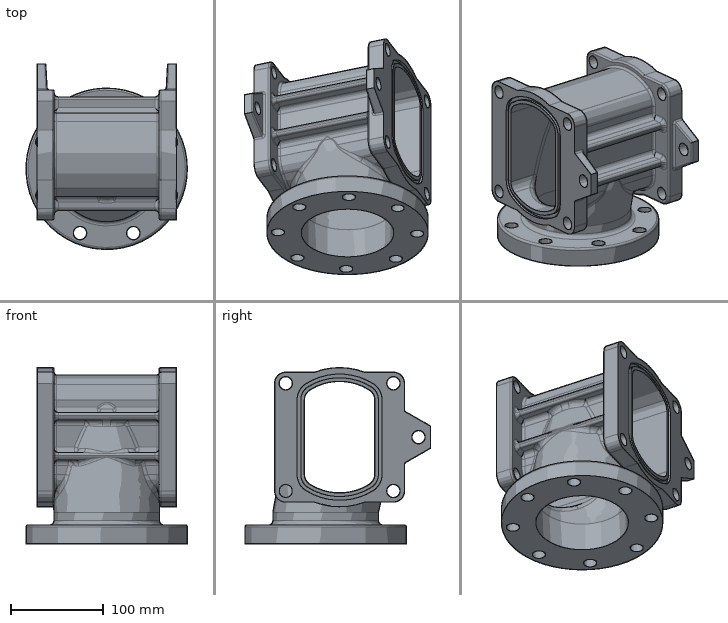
import cadquery as cq
import math

FLANGE_RADIUS = 87.0
FLANGE_THICKNESS = 20.5
FLANGE_EDGE_ROUND = 2.3
FLANGE_BOLT_CIRCLE_RADIUS = 75.0
FLANGE_BOLT_COUNT = 8
BOLT_HOLE_DIAMETER = 14.0

PASSAGE_Y = 15.0
PASSAGE_Z = 115.0
BORE_HALF_WIDTH = 37.8
BORE_RADIUS = 60.0
BORE_CORNER_ROUND = 12.5
WALL = 7.2
LENGTH = 150.0

PLATE_THICKNESS = 18.5
PLATE_SIZE = 140.0
PLATE_CORNER_RADIUS = 12.0
PLATE_SWELLING_RADIUS = 75.0
PLATE_EDGE_ROUND = 2.0
PLATE_HOLE_OFFSET = 58.0
PLATE_ROOT_FILLET = 2.5
INNER_FACE_X = LENGTH / 2 - PLATE_THICKNESS

EAR_REACH = 98.0
EAR_HOLE_REACH = 85.0
EAR_BASE_HALF_HEIGHT = 28.0
EAR_TIP_HALF_HEIGHT = 12.0
EAR_ROOT_THICKNESS = 11.0
EAR_TIP_THICKNESS = 9.5
EAR_EDGE_ROUND = 1.5
EAR_ROOT_FILLET = 2.5

GROOVE_INNER_OFFSET = 4.0
GROOVE_OUTER_OFFSET = 8.0
GROOVE_DEPTH = 3.0

RIB_HEIGHTS = (94.5, 137.5)
RIB_THICKNESS = 8.0
RIB_FRONT_REACH = 60.0
RIB_REAR_REACH = 62.5
RIB_TIP_ROUND = 3.0
RIB_ROOT_FILLET = 6.0
RIB_END_FILLET = 4.5

NECK_RADIUS = 57.0
NECK_STRAIGHT_TOP = 34.0
NECK_SHOULDER = (98.0, 6.5, 50.5)
NECK_TOP = (160.0, -5.0, 22.5)
NECK_FOOT_FILLET = 4.5
NECK_BODY_FILLET = 5.5
NECK_MOUTH_ROUND = 10.0

SEAM_SAMPLES = (0.15, 0.5, 0.85)
SEAM_TOLERANCE = 0.001
PICK_MARGIN = 0.1
CLEAR_SPAN = 4 * PLATE_SIZE


def passage_section(offset, length):
    """Flat-sided, round-topped bar along X, grown outward from the bore by offset."""
    half_width = BORE_HALF_WIDTH + offset
    radius = BORE_RADIUS + offset
    slab = cq.Workplane("YZ").rect(2 * half_width, 2 * radius).extrude(length / 2, both=True)
    drum = cq.Workplane("YZ").circle(radius).extrude(length / 2, both=True)
    bar = slab.intersect(drum).edges("|X").fillet(BORE_CORNER_ROUND + offset)
    return bar.translate((0, PASSAGE_Y, PASSAGE_Z))


def ribs():
    bars = cq.Workplane("XY")
    for height in RIB_HEIGHTS:
        bar = (
            cq.Workplane("XY")
            .box(LENGTH - PLATE_THICKNESS, RIB_FRONT_REACH + RIB_REAR_REACH, RIB_THICKNESS)
            .edges("|X").fillet(RIB_TIP_ROUND)
            .translate((0, PASSAGE_Y + (RIB_REAR_REACH - RIB_FRONT_REACH) / 2, height))
        )
        bars = bars.add(bar)
    return bars.combine()


def ribbed_body():
    body = passage_section(WALL, LENGTH - PLATE_THICKNESS).union(ribs())
    for side in (-1, 1):
        wall_y = PASSAGE_Y + side * (BORE_HALF_WIDTH + WALL)
        low = (-PICK_MARGIN, wall_y - PICK_MARGIN, min(RIB_HEIGHTS) - RIB_THICKNESS)
        high = (PICK_MARGIN, wall_y + PICK_MARGIN, max(RIB_HEIGHTS) + RIB_THICKNESS)
        root_edges = cq.selectors.BoxSelector(low, high)
        body = body.edges("|X").edges(root_edges).fillet(RIB_ROOT_FILLET)
    return body


def plate_ear():
    """Ear with its outer face on local Z = 0, thinning toward its tip along local X."""
    half = PLATE_SIZE / 2
    ear_profile = (
        cq.Workplane("XZ")
        .moveTo(0, 0)
        .lineTo(EAR_REACH, 0)
        .lineTo(EAR_REACH, EAR_TIP_THICKNESS)
        .lineTo(half, EAR_ROOT_THICKNESS)
        .lineTo(0, EAR_ROOT_THICKNESS)
        .close().extrude(EAR_BASE_HALF_HEIGHT, both=True)
    )
    ear = (
        cq.Workplane("XY")
        .moveTo(0, -EAR_BASE_HALF_HEIGHT)
        .lineTo(half, -EAR_BASE_HALF_HEIGHT)
        .lineTo(EAR_REACH, -EAR_TIP_HALF_HEIGHT)
        .lineTo(EAR_REACH, EAR_TIP_HALF_HEIGHT)
        .lineTo(half, EAR_BASE_HALF_HEIGHT)
        .lineTo(0, EAR_BASE_HALF_HEIGHT)
        .close().extrude(EAR_ROOT_THICKNESS)
        .intersect(ear_profile)
    )
    ear_back = cq.selectors.BoxSelector(
        (half + PICK_MARGIN, -half, EAR_TIP_THICKNESS - PICK_MARGIN),
        (EAR_REACH + PICK_MARGIN, half, EAR_ROOT_THICKNESS + PICK_MARGIN),
    )
    return ear.edges(ear_back).fillet(EAR_EDGE_ROUND)


def end_plate():
    """Plate with its outer face on local Z = 0, local X = part Y, local Y = part Z."""
    half = PLATE_SIZE / 2
    square = (
        cq.Workplane("XY").rect(PLATE_SIZE, PLATE_SIZE).extrude(PLATE_THICKNESS)
        .edges("|Z").fillet(PLATE_CORNER_RADIUS)
    )
    swelling_half_width = math.sqrt(PLATE_SWELLING_RADIUS**2 - half**2)
    swelling_band = (
        cq.Workplane("XY")
        .rect(2 * swelling_half_width, 2 * PLATE_SWELLING_RADIUS).extrude(PLATE_THICKNESS)
    )
    swelling = cq.Workplane("XY").circle(PLATE_SWELLING_RADIUS).extrude(PLATE_THICKNESS)
    swelling = swelling.intersect(swelling_band)
    plate = square.union(swelling).faces(">Z").edges().fillet(PLATE_EDGE_ROUND)
    ear_root = cq.selectors.BoxSelector(
        (half - PICK_MARGIN, -half, EAR_TIP_THICKNESS - PICK_MARGIN),
        (half + PICK_MARGIN, half, EAR_ROOT_THICKNESS + PICK_MARGIN),
    )
    return plate.union(plate_ear()).edges(ear_root).fillet(EAR_ROOT_FILLET)


def both_plates():
    left = (
        end_plate()
        .rotate((0, 0, 0), (1, 1, 1), 120)
        .translate((-LENGTH / 2, PASSAGE_Y, PASSAGE_Z))
    )
    return left.union(left.mirror("YZ"))


def neck_taper(inset):
    """Round pillar from the flange, narrowing and leaning forward as it rises."""
    rings = [
        cq.Wire.makeCircle(radius - inset, cq.Vector(0, y, z), cq.Vector(0, 0, 1))
        for z, y, radius in ((NECK_STRAIGHT_TOP, 0, NECK_RADIUS), NECK_SHOULDER, NECK_TOP)
    ]
    straight = cq.Workplane("XY").circle(NECK_RADIUS - inset).extrude(NECK_STRAIGHT_TOP)
    return straight.union(cq.Workplane(cq.Solid.makeLoft(rings)))


def fillet_seam(joined, first, second, radius):
    """Fillet the edges of joined that lie on the skins of both first and second."""
    skins = [cq.Compound.makeCompound(part.faces().vals()) for part in (first, second)]
    seam = []
    for edge in joined.edges().vals():
        samples = [cq.Vertex.makeVertex(*edge.positionAt(t).toTuple()) for t in SEAM_SAMPLES]
        if all(skin.distance(point) < SEAM_TOLERANCE for skin in skins for point in samples):
            seam.append(edge)
    return joined.newObject(seam).fillet(radius)


def base_flange():
    return (
        cq.Workplane("XY").circle(FLANGE_RADIUS).extrude(FLANGE_THICKNESS)
        .faces(">Z").edges().fillet(FLANGE_EDGE_ROUND)
    )


def flange_holes():
    return (
        cq.Workplane("XY")
        .polarArray(FLANGE_BOLT_CIRCLE_RADIUS, 180 / FLANGE_BOLT_COUNT, 360, FLANGE_BOLT_COUNT)
        .circle(BOLT_HOLE_DIAMETER / 2).extrude(FLANGE_THICKNESS)
    )


def plate_holes():
    centres = [(y * PLATE_HOLE_OFFSET, z * PLATE_HOLE_OFFSET) for y in (-1, 1) for z in (-1, 1)]
    centres.append((EAR_HOLE_REACH, 0))
    drills = cq.Workplane("YZ").pushPoints(centres).circle(BOLT_HOLE_DIAMETER / 2)
    drills = drills.extrude(LENGTH / 2, both=True)
    gap = cq.Workplane("XY").box(2 * INNER_FACE_X, CLEAR_SPAN, CLEAR_SPAN)
    return drills.cut(gap).translate((0, PASSAGE_Y, PASSAGE_Z))


def seal_grooves():
    outer = passage_section(GROOVE_OUTER_OFFSET, LENGTH)
    inner = passage_section(GROOVE_INNER_OFFSET, LENGTH)
    middle = cq.Workplane("XY").box(LENGTH - 2 * GROOVE_DEPTH, CLEAR_SPAN, CLEAR_SPAN)
    return outer.cut(inner).cut(middle)


def plate_face_box(side, half_width, half_height):
    """Selector for edges lying in the inner face of one plate, near the passage."""
    x = side * INNER_FACE_X
    return cq.selectors.BoxSelector(
        (x - PICK_MARGIN, PASSAGE_Y - half_width, PASSAGE_Z - half_height),
        (x + PICK_MARGIN, PASSAGE_Y + half_width, PASSAGE_Z + half_height),
        boundingbox=True,
    )


def plated_frame():
    """Both plates, the ribbed passage and the ribs flared into the plates."""
    half_width = PLATE_SIZE / 2 - 2 * PLATE_EDGE_ROUND
    plates = both_plates()
    flared_ribs = plates.union(ribs())
    frame = plates.union(ribbed_body())
    for side in (-1, 1):
        rib_ends = plate_face_box(side, half_width, PLATE_HOLE_OFFSET)
        flared_ribs = flared_ribs.edges(rib_ends).fillet(RIB_END_FILLET)
        passage_end = plate_face_box(side, half_width, BORE_RADIUS + WALL + PICK_MARGIN)
        frame = frame.edges(passage_end).fillet(PLATE_ROOT_FILLET)
    return frame.union(flared_ribs)


def necked_body():
    """Flange and neck blended into the outside of the ribbed passage."""
    flange = base_flange()
    neck = neck_taper(0)
    stem = fillet_seam(flange.union(neck), flange, neck, NECK_FOOT_FILLET)
    body = ribbed_body()
    return fillet_seam(stem.union(body), stem, body, NECK_BODY_FILLET)


def hollow():
    """Straight passage and the neck bore, with a rounded lip where they meet."""
    passage = passage_section(0, LENGTH)
    neck_bore = neck_taper(WALL)
    return fillet_seam(passage.union(neck_bore), passage, neck_bore, NECK_MOUTH_ROUND)


result = plated_frame().union(necked_body()).cut(hollow())
result = result.cut(plate_holes()).cut(flange_holes()).cut(seal_grooves())